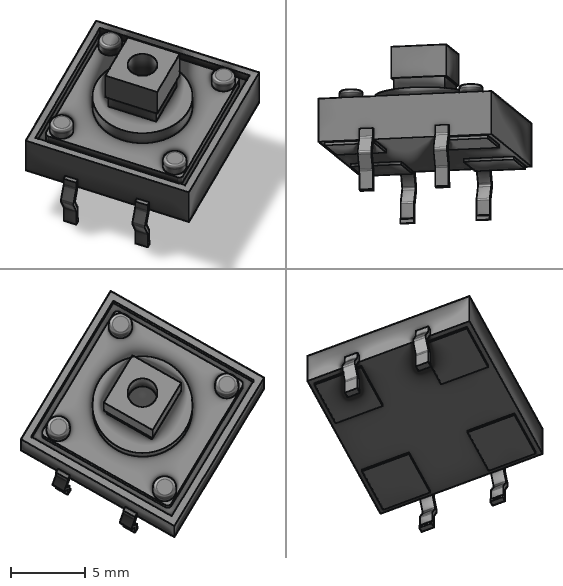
import cadquery as cq
import math


OVERALL_DEPTH = 13.54
OVERALL_HEIGHT = 10.63

HOUSING_SIDE = 12.0
HOUSING_HEIGHT = 2.97
RIM_WIDTH = 0.5
GROOVE_WIDTH = 0.46
GROOVE_DEPTH = 0.6
PLATE_CORNER_RADIUS = 0.3

STUD_DIAMETER = 1.6
STUD_HEIGHT = 0.8
STUD_ROUNDING = 0.25
STUD_OFFSET = 4.16

PAD_SIDE = 3.48
PAD_HEIGHT = 0.2
PAD_INSET = 0.35

DISC_DIAMETER = 6.75
DISC_HEIGHT = 1.0
STEM_SIDE = 3.53
STEM_HEIGHT = 1.0
CAP_SIDE = 3.82
CAP_HOLE_DIAMETER = 2.0

LEG_WIDTH = 0.92
LEG_THICKNESS = 0.3
LEG_OFFSET = 2.63
LEG_OVERLAP = 0.72
LEG_DROP = 3.51
KINK_TOP = 0.12
KINK_BOTTOM = 2.13
BEND_RADIUS = 0.3
LIP_WIDTH = 0.11
LIP_HEIGHT = 0.35
LIP_SLOPE = 0.08
TIP_SLANT = 0.04

GROOVE_OUTER_SIDE = HOUSING_SIDE - 2 * RIM_WIDTH
PLATE_SIDE = GROOVE_OUTER_SIDE - 2 * GROOVE_WIDTH
PAD_SPACING = HOUSING_SIDE - 2 * PAD_INSET - PAD_SIDE
CAP_HEIGHT = OVERALL_HEIGHT - LEG_DROP - HOUSING_HEIGHT - DISC_HEIGHT - STEM_HEIGHT
LEG_REACH = (OVERALL_DEPTH - HOUSING_SIDE) / 2


def make_groove():
    """Square ring with rounded inner corners, cut into the top of the housing."""
    top = cq.Workplane("XY").workplane(offset=HOUSING_HEIGHT)
    island = top.rect(PLATE_SIDE, PLATE_SIDE).extrude(-GROOVE_DEPTH)
    island = island.edges("|Z").fillet(PLATE_CORNER_RADIUS)
    return top.rect(GROOVE_OUTER_SIDE, GROOVE_OUTER_SIDE).extrude(-GROOVE_DEPTH).cut(island)


def make_studs():
    """Four round-topped studs near the corners of the top plate."""
    return (
        cq.Workplane("XY")
        .workplane(offset=HOUSING_HEIGHT)
        .rect(2 * STUD_OFFSET, 2 * STUD_OFFSET, forConstruction=True)
        .vertices()
        .circle(STUD_DIAMETER / 2)
        .extrude(STUD_HEIGHT)
        .faces(">Z")
        .edges()
        .fillet(STUD_ROUNDING)
    )


def make_pads():
    """Four square standoff pads under the housing corners."""
    return (
        cq.Workplane("XY")
        .rect(PAD_SPACING, PAD_SPACING, forConstruction=True)
        .vertices()
        .rect(PAD_SIDE, PAD_SIDE)
        .extrude(-PAD_HEIGHT)
    )


def make_housing():
    block = cq.Workplane("XY").rect(HOUSING_SIDE, HOUSING_SIDE).extrude(HOUSING_HEIGHT)
    return block.cut(make_groove()).union(make_studs()).union(make_pads())


def make_plunger():
    """Round disc, square stem and wider square cap with a blind hole in its top."""
    base = cq.Workplane("XY").workplane(offset=HOUSING_HEIGHT)
    disc = base.circle(DISC_DIAMETER / 2).extrude(DISC_HEIGHT)
    stem = disc.faces(">Z").workplane().rect(STEM_SIDE, STEM_SIDE).extrude(STEM_HEIGHT)
    cap = stem.faces(">Z").workplane().rect(CAP_SIDE, CAP_SIDE).extrude(CAP_HEIGHT)
    return cap.faces(">Z").workplane().hole(CAP_HOLE_DIAMETER, CAP_HEIGHT)


def make_leg():
    """One leg on the +Y side, centred on X = 0, with its profile in the YZ plane."""
    inner = HOUSING_SIDE / 2
    outer = inner + LEG_THICKNESS
    kink_middle = (KINK_TOP - KINK_BOTTOM) / 2
    half_span = (KINK_TOP + KINK_BOTTOM) / 2

    kink_depth = LEG_REACH - LEG_THICKNESS
    radius_gap = kink_depth - BEND_RADIUS
    kink_angle = math.atan(radius_gap / half_span)
    kink_angle += math.asin(BEND_RADIUS / math.hypot(half_span, radius_gap))
    kink_outer = outer + half_span * math.tan(kink_angle)

    bend_shift = LEG_THICKNESS * math.tan(kink_angle / 2)
    kink_inner = kink_outer - LEG_THICKNESS / math.cos(kink_angle)

    profile = [
        (inner, LEG_OVERLAP),
        (outer, LEG_OVERLAP),
        (outer, KINK_TOP),
        (kink_outer, kink_middle),
        (outer, -KINK_BOTTOM),
        (outer, TIP_SLANT - LEG_DROP),
        (inner - LIP_WIDTH, -LEG_DROP),
        (inner - LIP_WIDTH, LIP_HEIGHT - LIP_SLOPE - LEG_DROP),
        (inner, LIP_HEIGHT - LEG_DROP),
        (inner, bend_shift - KINK_BOTTOM),
        (kink_inner, kink_middle),
        (inner, KINK_TOP - bend_shift),
    ]
    blank = cq.Workplane("YZ").polyline(profile).close().extrude(LEG_WIDTH / 2, both=True)
    bends = cq.selectors.BoxSelector(
        (-LEG_WIDTH, inner - LIP_WIDTH, -KINK_BOTTOM - bend_shift),
        (LEG_WIDTH, kink_outer + LIP_WIDTH, KINK_TOP + bend_shift),
    )
    return blank.edges("|X").edges(bends).fillet(BEND_RADIUS)


def make_legs():
    """Two legs on the +Y side and two, turned half round, on the -Y side."""
    leg = make_leg()
    legs = []
    for turn in (0, 180):
        for x in (-LEG_OFFSET, LEG_OFFSET):
            legs.append(leg.translate((x, 0, 0)).rotate((0, 0, 0), (0, 0, 1), turn))
    return legs


housing = make_housing()
plunger = make_plunger()
legs = make_legs()

result = cq.Compound.makeCompound(
    [housing.val(), plunger.val(), *[leg.val() for leg in legs]]
)